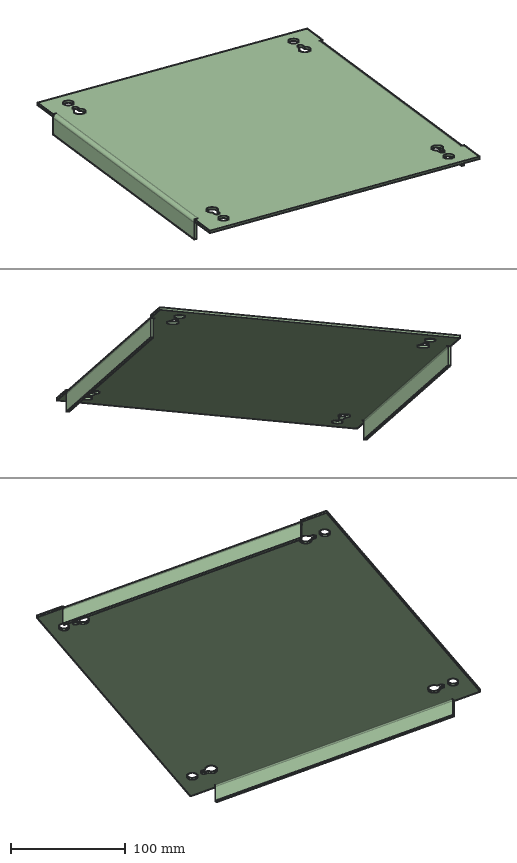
import cadquery as cq

panel_length = 289.5
panel_width = 275.5
panel_height = 20.0
sheet_thickness = 2.5

flange_end_inset = 26.0
flange_length = panel_length - 2 * flange_end_inset
bend_inner_radius = 1.0
bend_outer_radius = bend_inner_radius + sheet_thickness

hole_diameter = 9.5
hole_inset = 14.5
hole_x = panel_length / 2 - hole_inset
hole_y = 115.0
keyhole_diameter = 10.5
keyhole_spacing = 19.0
keyhole_x = hole_x - keyhole_spacing
keyhole_slot_width = 5.0
keyhole_reach = 10.0


def make_block(length, width, height, top_z):
    """Box centred on the Z axis, reaching down from top_z."""
    block = cq.Workplane("XY").box(length, width, height, centered=(True, True, False))
    return block.translate((0, 0, top_z - height))


def make_channel():
    """Middle stretch of the panel with both flanges, as one bent channel along X."""
    outer = make_block(flange_length, panel_width, panel_height, 0)
    outer = outer.edges("|X and >Z").fillet(bend_outer_radius)

    inner_width = panel_width - 2 * sheet_thickness
    inner_height = panel_height - sheet_thickness
    inner = make_block(flange_length, inner_width, inner_height, -sheet_thickness)
    inner = inner.edges("|X and >Z").fillet(bend_inner_radius)
    return outer.cut(inner)


def make_panel_body():
    """Bent channel with a flat full-width plate strip at each end."""
    plate = make_block(panel_length, panel_width, sheet_thickness, 0)
    middle = make_block(flange_length, panel_width, sheet_thickness, 0)
    return plate.cut(middle).union(make_channel())


def make_corner_cutter(side_x, side_y):
    """Round hole and a keyhole whose slot points towards it."""
    base = cq.Workplane("XY", origin=(0, side_y * hole_y, -sheet_thickness))
    hole = base.center(side_x * hole_x, 0).circle(hole_diameter / 2).extrude(sheet_thickness)
    entry = base.center(side_x * keyhole_x, 0).circle(keyhole_diameter / 2).extrude(sheet_thickness)

    slot_length = keyhole_reach + keyhole_slot_width / 2
    slot_x = keyhole_x + keyhole_reach - slot_length / 2
    slot = base.center(side_x * slot_x, 0).slot2D(slot_length, keyhole_slot_width).extrude(sheet_thickness)
    return hole.union(entry).union(slot)


result = make_panel_body()
for side_x in (-1, 1):
    for side_y in (-1, 1):
        result = result.cut(make_corner_cutter(side_x, side_y))